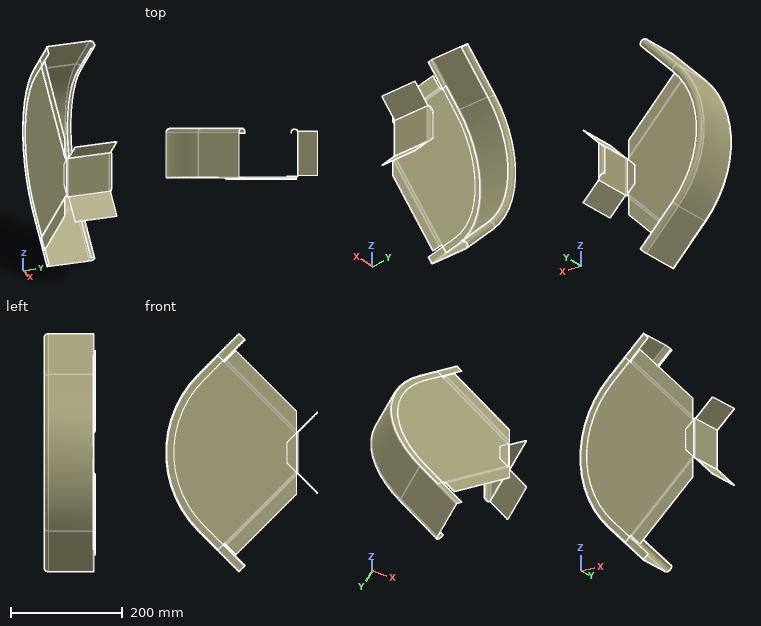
import cadquery as cq
import math


overall_height = 426.5
inner_reach = 73.5

sheet = 1.05
bend_radius = 2.0
inside_radius = bend_radius - sheet
half_turn = 45.0
root2 = math.sqrt(2)
half_fold = math.tan(math.radians(half_turn / 2))

tab_bottom = 0.0
outer_rail_bottom = 2.35
plate_bottom = outer_rail_bottom + sheet
plate_top = plate_bottom + sheet
inner_rail_bottom = plate_top

outer_radius = 198.5
outer_rail_top = 91.5
outer_foot_width = 14.5
outer_hook_radius = 8.0
straight_length = overall_height / root2 - outer_radius

inner_wall_x = 38.5
inner_rail_top = 90.5
inner_foot_width = 19.5
inner_hook_radius = 6.5
wing_bottom = 7.0
wing_top = 86.0
wing_corner_radius = 1.3

hook_lip = 1.3

plate_edge_x = 36.0
plate_radius = outer_radius - bend_radius
joggle_start = 49.0
joggle_end = joggle_start + plate_bottom - tab_bottom
tab_end = 77.5
tab_outer_edge = 181.0


def rail_section(plane, bottom, top, foot_width, hook_radius):
    """Rail profile: local x runs from the outside of the wall toward the foot."""
    hook_center = top - hook_radius
    lip_end = hook_center - hook_lip
    hook_width = 2 * hook_radius
    fold_center = (bend_radius, bottom + bend_radius)

    def fold_middle(radius):
        return (fold_center[0] - radius / root2, fold_center[1] - radius / root2)

    return (
        cq.Workplane(plane)
        .moveTo(foot_width, bottom)
        .lineTo(bend_radius, bottom)
        .threePointArc(fold_middle(bend_radius), (0, fold_center[1]))
        .lineTo(0, hook_center)
        .threePointArc((hook_radius, top), (hook_width, hook_center))
        .lineTo(hook_width, lip_end)
        .lineTo(hook_width - sheet, lip_end)
        .lineTo(hook_width - sheet, hook_center)
        .threePointArc((hook_radius, top - sheet), (sheet, hook_center))
        .lineTo(sheet, fold_center[1])
        .threePointArc(fold_middle(inside_radius), (bend_radius, bottom + sheet))
        .lineTo(foot_width, bottom + sheet)
        .close()
    )


def turn(body, angle):
    """Turn a body about the Y axis."""
    return body.rotate((0, 0, 0), (0, 1, 0), angle)


def outer_rail_section():
    plane = cq.Plane(origin=(-outer_radius, 0, 0), xDir=(1, 0, 0), normal=(0, 0, 1))
    return rail_section(
        plane, outer_rail_bottom, outer_rail_top, outer_foot_width, outer_hook_radius
    )


def make_outer_rail():
    curve = outer_rail_section().revolve(
        2 * half_turn, (outer_radius, 0, 0), (outer_radius, 1, 0)
    )
    curve = turn(curve, -half_turn)
    straight = turn(outer_rail_section().extrude(straight_length), half_turn)
    return curve.union(straight).union(straight.mirror("XY"))


def make_wing():
    """Upper wing: a flat strip at 45 degrees with rounded corners on its free end."""
    wing_root = root2 * (inner_wall_x - sheet)
    wing_tip = root2 * inner_reach - sheet
    wing = (
        cq.Workplane("XY", origin=(0, wing_bottom, wing_root))
        .rect(sheet, wing_top - wing_bottom, centered=False)
        .extrude(wing_tip - wing_root)
        .edges("|X and >Z")
        .fillet(wing_corner_radius)
    )
    return turn(wing, half_turn)


def make_inner_rail():
    plane = cq.Plane(origin=(inner_wall_x, 0, 0), xDir=(-1, 0, 0), normal=(0, 0, -1))
    section = rail_section(
        plane, inner_rail_bottom, inner_rail_top, inner_foot_width, inner_hook_radius
    )
    wall = section.extrude(inner_wall_x, both=True)
    mitre = (
        cq.Workplane("XZ")
        .polyline([(0, 0), (inner_wall_x, inner_wall_x), (inner_wall_x, -inner_wall_x)])
        .close()
        .extrude(-inner_rail_top)
    )
    wing = make_wing()
    return wall.intersect(mitre).union(wing).union(wing.mirror("XY"))


def make_tab():
    """Upper tab: joggled down from the plate so that a tray can rest on it."""
    overlap_start = joggle_start - 2 * bend_radius
    tab_top = tab_bottom + sheet
    fold_shift = sheet * half_fold
    profile = [
        (plate_bottom, overlap_start),
        (plate_bottom, joggle_start),
        (tab_bottom, joggle_end),
        (tab_bottom, tab_end),
        (tab_top, tab_end),
        (tab_top, joggle_end + fold_shift),
        (plate_top, joggle_start + fold_shift),
        (plate_top, overlap_start),
    ]
    tab = (
        cq.Workplane("YZ", origin=(-tab_outer_edge, 0, 0))
        .polyline(profile)
        .close()
        .extrude(2 * tab_outer_edge)
    )
    fold_edges = [
        (plate_bottom, joggle_start, inside_radius),
        (plate_top, joggle_start + fold_shift, bend_radius),
        (tab_bottom, joggle_end, bend_radius),
        (tab_top, joggle_end + fold_shift, inside_radius),
    ]
    for height, distance, radius in fold_edges:
        nearest = cq.NearestToPointSelector((0, height, distance))
        tab = tab.edges("|X").edges(nearest).fillet(radius)
    return turn(tab, half_turn)


def make_plate():
    fold_start = joggle_start - inside_radius * half_fold
    corner_x = (fold_start - plate_radius) / root2
    corner_z = (fold_start + plate_radius) / root2
    tangent = plate_radius / root2
    edge_z = fold_start * root2 - plate_edge_x
    floor = (
        cq.Workplane("XZ", origin=(0, plate_bottom, 0))
        .moveTo(plate_edge_x, -edge_z)
        .lineTo(plate_edge_x, edge_z)
        .lineTo(corner_x, corner_z)
        .lineTo(-tangent, tangent)
        .threePointArc((-plate_radius, 0), (-tangent, -tangent))
        .lineTo(corner_x, -corner_z)
        .close()
        .extrude(-sheet)
    )
    beyond_edge = cq.Workplane("XY").box(
        overall_height, overall_height, overall_height, centered=(False, True, True)
    ).translate((plate_edge_x, 0, 0))
    tab = make_tab().cut(beyond_edge)
    return floor.union(tab).union(tab.mirror("XY"))


plate = make_plate()
outer_rail = make_outer_rail()
inner_rail = make_inner_rail()

result = cq.Compound.makeCompound([plate.val(), outer_rail.val(), inner_rail.val()])